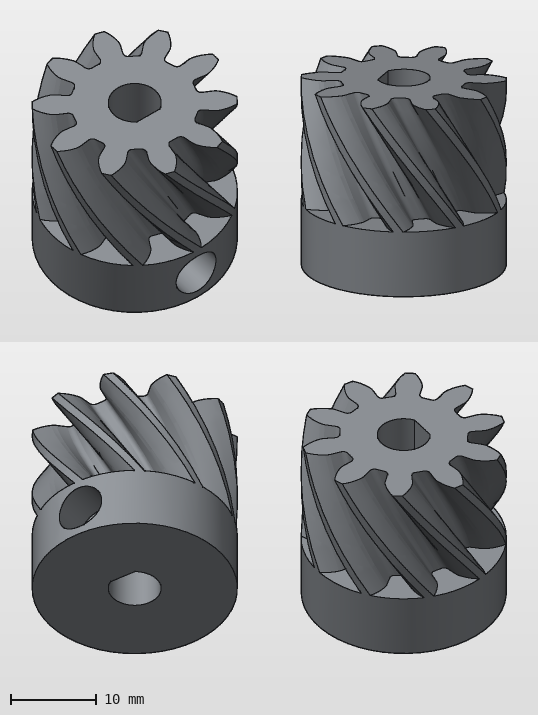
import cadquery as cq
import math

outer_radius = 12.0
total_height = 23.0
hub_height = 8.0
gear_height = total_height - hub_height

tooth_count = 10
module = 2 * outer_radius / (tooth_count + 2)
pitch_radius = module * tooth_count / 2
pressure_angle = math.radians(20.0)
base_radius = pitch_radius * math.cos(pressure_angle)
root_radius = 7.5
root_fillet = 0.62
tooth_thickness = 3.12
root_half_angle = 0.18
tooth_spacing = 2 * math.pi / tooth_count
top_tooth_angle = math.pi / 2
twist_degrees = 53.7

bore_radius = 3.1
bore_flat_x = 2.6

screw_diameter = 3.4
counterbore_diameter = 5.9
counterbore_depth = 4.8
screw_z = hub_height / 2


def polar(radius, angle):
    return cq.Vector(radius * math.cos(angle), radius * math.sin(angle), 0)


def arc_edge(radius, start, end):
    """Arc about the gear axis between two angles."""
    middle = (start + end) / 2
    return cq.Edge.makeThreePointArc(polar(radius, start), polar(radius, middle), polar(radius, end))


def involute_angle(radius):
    """Angle that the involute has swept since leaving the base circle."""
    local_pressure = math.acos(min(1.0, base_radius / radius))
    return math.tan(local_pressure) - local_pressure


def half_angle(radius):
    """Half of the angle that a tooth spans at a radius on its involute flank."""
    pitch_half_angle = tooth_thickness / (2 * pitch_radius)
    return pitch_half_angle + involute_angle(pitch_radius) - involute_angle(radius)


def flank_point(middle, side, radius):
    """Point on the involute on one side (-1 or 1) of the tooth centred at angle middle."""
    return polar(radius, middle + side * half_angle(radius))


def flank_curve(middle, side, start_radius, end_radius):
    """Stretch of involute between two radii, drawn as an arc through three of its points."""
    radii = (start_radius, (start_radius + end_radius) / 2, end_radius)
    return cq.Edge.makeThreePointArc(*[flank_point(middle, side, radius) for radius in radii])


def flank(middle, side):
    """Edges of one flank: straight below the base circle, involute above it."""
    foot = polar(root_radius, middle + side * root_half_angle)
    return [
        cq.Edge.makeLine(foot, flank_point(middle, side, base_radius)),
        flank_curve(middle, side, base_radius, pitch_radius),
        flank_curve(middle, side, pitch_radius, outer_radius),
    ]


def gear_face(first_middle):
    """Gear outline with rounded roots, with a tooth centred at angle first_middle."""
    tip_half_angle = half_angle(outer_radius)
    edges = []
    for number in range(tooth_count):
        middle = first_middle + number * tooth_spacing
        next_middle = middle + tooth_spacing
        edges += flank(middle, -1)
        edges.append(arc_edge(outer_radius, middle - tip_half_angle, middle + tip_half_angle))
        edges += flank(middle, 1)
        edges.append(arc_edge(root_radius, middle + root_half_angle, next_middle - root_half_angle))
    face = cq.Face.makeFromWires(cq.Wire.assembleEdges(edges))

    halfway_radius = (root_radius + base_radius) / 2
    root_corners = [v for v in face.Vertices() if math.hypot(v.X, v.Y) < halfway_radius]
    return face.fillet2D(root_fillet, root_corners)


def helical_gear():
    """Gear standing on the hub, its teeth turning clockwise on the way up."""
    bottom_face = gear_face(top_tooth_angle + math.radians(twist_degrees))
    gear = cq.Solid.extrudeLinearWithRotation(
        bottom_face, cq.Vector(0, 0, 0), cq.Vector(0, 0, gear_height), -twist_degrees
    )
    return cq.Workplane(gear.translate(cq.Vector(0, 0, hub_height)))


def shaft_bore():
    """Through bore with a flat on its +X side."""
    flat_half_width = math.sqrt(bore_radius**2 - bore_flat_x**2)
    return (
        cq.Workplane("XY")
        .moveTo(bore_flat_x, -flat_half_width)
        .lineTo(bore_flat_x, flat_half_width)
        .threePointArc((-bore_radius, 0), (bore_flat_x, -flat_half_width))
        .close()
        .extrude(total_height)
    )


def screw_hole():
    """Hole from the bore axis to the rim, wider at its outer end."""
    hole = cq.Workplane("YZ", origin=(0, 0, screw_z)).circle(screw_diameter / 2).extrude(outer_radius)
    counterbore = (
        cq.Workplane("YZ", origin=(outer_radius - counterbore_depth, 0, screw_z))
        .circle(counterbore_diameter / 2)
        .extrude(counterbore_depth)
    )
    return hole.union(counterbore)


hub = cq.Workplane("XY").circle(outer_radius).extrude(hub_height)
result = hub.union(helical_gear()).cut(shaft_bore()).cut(screw_hole())